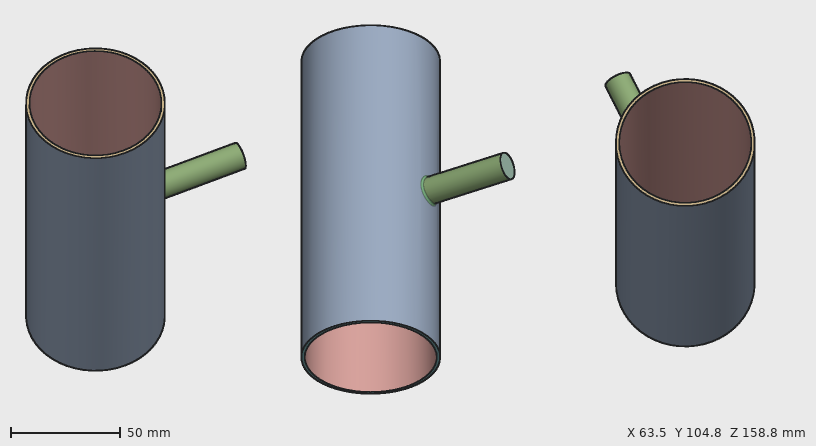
import cadquery as cq

tube_diameter = 63.5
tube_wall = 1.6
tube_length = 158.8

stem_diameter = 12.7
stem_reach = 73.0
joint_fillet = 1.0

tube_radius = tube_diameter / 2
bore_radius = tube_radius - tube_wall
stem_radius = stem_diameter / 2


def vertical_cylinder(radius):
    """Full-length cylinder on the tube axis."""
    return cq.Workplane("XY").circle(radius).extrude(tube_length / 2, both=True)


def side_stem():
    """Round bar from the tube axis out to its free end on +Y."""
    return cq.Workplane("XZ").circle(stem_radius).extrude(-stem_reach)


def joint_edges():
    """Box selector around the curve where the stem enters the tube."""
    half_width = stem_diameter
    return cq.selectors.BoxSelector(
        (-half_width, bore_radius - tube_wall, -half_width),
        (half_width, tube_radius + tube_wall, half_width),
    )


body = vertical_cylinder(tube_radius).union(side_stem())
filleted_body = body.edges(joint_edges()).fillet(joint_fillet)

result = filleted_body.cut(vertical_cylinder(bore_radius))